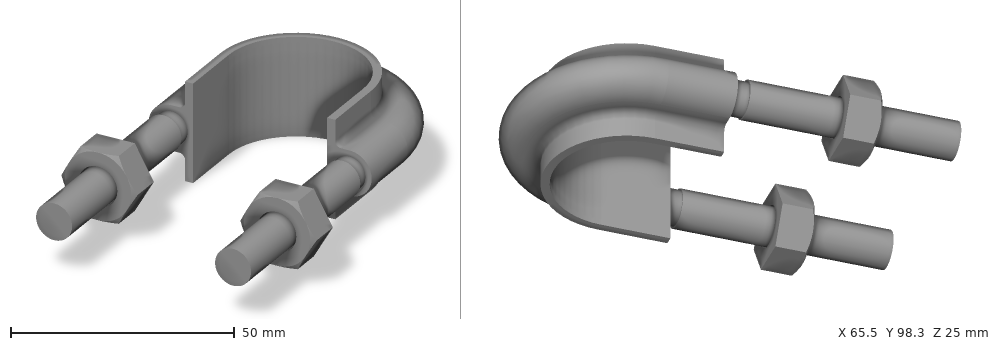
import cadquery as cq
import math

leg_spacing = 45.9
leg_offset = leg_spacing / 2

shank_diameter = 8.4
shank_bend_radius = 22.8
thread_diameter = 9.2
thread_start_y = -19.8
bolt_end_y = -69.7

sleeve_height = 25.0
sleeve_inner_radius = 17.2
band_thickness = 2.1
sleeve_outer_radius = 28.6
bulge_radius = 5.7
root_fillet = 1.5
sleeve_end_y = -16.4

nut_flats = 17.0
nut_bore_diameter = 9.9
nut_height = 8.1
nut_top_y = -41.6
nut_chamfer_angle = 30.0


def make_u(profile, leg_end_y):
    """Bend a closed XZ profile 180 degrees about Z and extend both ends as legs."""
    face = cq.Face.makeFromWires(profile.val())
    bend = cq.Workplane(cq.Solid.revolve(face, 180, cq.Vector(0, 0, 0), cq.Vector(0, 0, 1)))
    right_leg = cq.Workplane(cq.Solid.extrudeLinear(face, cq.Vector(0, leg_end_y, 0)))
    left_leg = right_leg.mirror("YZ")
    return bend.union(right_leg).union(left_leg)


def make_shank():
    """Plain round bar that passes through the sleeve."""
    profile = cq.Workplane("XZ").moveTo(shank_bend_radius, 0).circle(shank_diameter / 2)
    return make_u(profile, thread_start_y)


def make_u_bolt():
    bolt = make_shank()
    for side in (-1, 1):
        thread = (
            cq.Workplane("XZ", origin=(side * leg_offset, thread_start_y, 0))
            .circle(thread_diameter / 2)
            .extrude(thread_start_y - bolt_end_y)
        )
        bolt = bolt.union(thread)
    return bolt


def make_sleeve():
    """Flat band with a rounded rib over the shank, bored to fit it."""
    half_height = sleeve_height / 2
    band_outer = sleeve_inner_radius + band_thickness
    fillet_end_x = band_outer + root_fillet
    fillet_start_z = bulge_radius + root_fillet
    bulge_center_x = sleeve_outer_radius - bulge_radius
    fillet_mid_offset = root_fillet * (1 - math.sqrt(0.5))
    fillet_mid_x = band_outer + fillet_mid_offset
    fillet_mid_z = bulge_radius + fillet_mid_offset
    profile = (
        cq.Workplane("XZ")
        .moveTo(sleeve_inner_radius, -half_height)
        .lineTo(band_outer, -half_height)
        .lineTo(band_outer, -fillet_start_z)
        .threePointArc((fillet_mid_x, -fillet_mid_z), (fillet_end_x, -bulge_radius))
        .lineTo(bulge_center_x, -bulge_radius)
        .threePointArc((sleeve_outer_radius, 0), (bulge_center_x, bulge_radius))
        .lineTo(fillet_end_x, bulge_radius)
        .threePointArc((fillet_mid_x, fillet_mid_z), (band_outer, fillet_start_z))
        .lineTo(band_outer, half_height)
        .lineTo(sleeve_inner_radius, half_height)
        .close()
    )
    return make_u(profile, sleeve_end_y).cut(make_shank())


def make_nut(center_x):
    """Hex nut with corners along X and its outer face (-Y) chamfered."""
    corner_diameter = nut_flats / math.cos(math.pi / 6)
    face_radius = nut_flats / 2
    chamfer_slope = math.tan(math.radians(nut_chamfer_angle))
    cone_end_radius = face_radius + nut_height / chamfer_slope
    hexagon = cq.Workplane("XZ").polygon(6, corner_diameter).extrude(nut_height)
    cone = (
        cq.Workplane("XY")
        .polyline([(0, 0), (cone_end_radius, 0), (face_radius, -nut_height), (0, -nut_height)])
        .close()
        .revolve(360, (0, 0), (0, 1))
    )
    bore = cq.Workplane("XZ").circle(nut_bore_diameter / 2).extrude(nut_height)
    return hexagon.intersect(cone).cut(bore).translate((center_x, nut_top_y, 0))


u_bolt = make_u_bolt()
sleeve = make_sleeve()
nuts = [make_nut(side * leg_offset) for side in (-1, 1)]

result = cq.Compound.makeCompound(
    [u_bolt.val(), sleeve.val(), *[nut.val() for nut in nuts]]
)